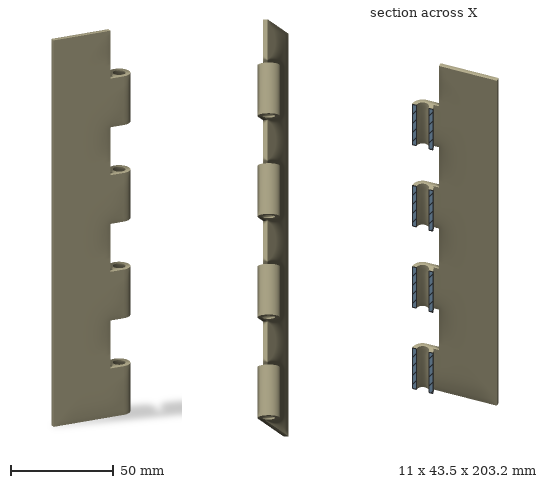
import cadquery as cq

leaf_height = 203.2
overall_width = 43.5
barrel_diameter = 11.0
pin_diameter = 6.3
plate_width = 30.7
knuckle_count = 4
knuckle_length = 25.6

knuckle_pitch = leaf_height / knuckle_count
barrel_radius = barrel_diameter / 2
sheet_thickness = (barrel_diameter - pin_diameter) / 2

plate_inner_x = barrel_radius - sheet_thickness
plate_free_y = barrel_radius - overall_width
plate_hinge_y = plate_free_y + plate_width


def make_plate():
    return (
        cq.Workplane("XY")
        .moveTo(plate_inner_x, plate_free_y)
        .lineTo(barrel_radius, plate_free_y)
        .lineTo(barrel_radius, plate_hinge_y)
        .lineTo(plate_inner_x, plate_hinge_y)
        .close()
        .extrude(leaf_height)
    )


def make_knuckle(bottom_z):
    """Barrel with its tangent neck to the plate and its pin hole."""
    base = cq.Workplane("XY", origin=(0, 0, bottom_z))
    barrel = base.circle(barrel_radius).extrude(knuckle_length)
    neck = (
        base.moveTo(plate_inner_x, plate_hinge_y)
        .lineTo(barrel_radius, plate_hinge_y)
        .lineTo(barrel_radius, 0)
        .lineTo(plate_inner_x, 0)
        .close()
        .extrude(knuckle_length)
    )
    pin_hole = base.circle(pin_diameter / 2).extrude(knuckle_length)
    return barrel.union(neck).cut(pin_hole)


result = make_plate()
for index in range(knuckle_count):
    result = result.union(make_knuckle(index * knuckle_pitch))